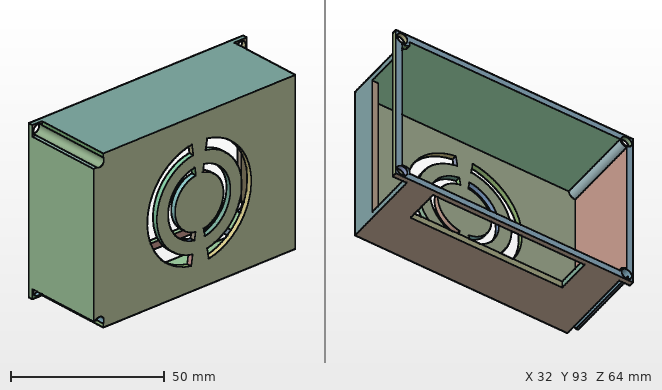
import cadquery as cq
import math

depth = 32.0
length = 93.0
height = 64.0

rim_thickness = 1.9
back_thickness = 2.0
side_wall = 2.46
floor_wall = 2.7
rim_overhang = 5.5
side_opening_depth = 20.1

screw_diameter = 4.0
boss_radius = 2.5
screw_inset = 2.5
tab_extension = 1.1
lip_width = 1.5
bottom_relief_height = 3.7

cable_y_min = -28.7
cable_y_max = 30.7
cable_depth = 13.0

vent_y = -0.65
vent_z = -0.4
vent_rings = [(10.5, 13.5), (18.4, 22.5)]
vent_halves = [(1, 8.8, 10.6), (-1, 8.1, 9.0)]

half_length = length / 2
half_height = height / 2
lip_reach = screw_inset + math.sqrt((screw_diameter / 2) ** 2 - (screw_inset - lip_width) ** 2)
inner_half_height = half_height - floor_wall
body_y_max = half_length - rim_overhang
screw_y = half_length - screw_inset
screw_z = half_height - screw_inset
tab_y = screw_y - tab_extension


def block(x_range, y_range, z_range):
    """Box spanning the given (low, high) ranges."""
    spans = [high - low for low, high in (x_range, y_range, z_range)]
    corner = (x_range[0], y_range[0], z_range[0])
    return cq.Workplane("XY").box(*spans, centered=False).translate(corner)


def rod(radius, y, z, x_start, x_end):
    """Cylinder along X."""
    return cq.Workplane("YZ", origin=(x_start, y, z)).circle(radius).extrude(x_end - x_start)


def make_shell():
    """Hollow box with a rim that overhangs its +Y end."""
    rim = block((0, rim_thickness), (-half_length, half_length), (-half_height, half_height))
    body = block((0, depth), (-half_length, body_y_max), (-half_height, half_height))
    inner_z = (-inner_half_height, inner_half_height)
    y_min = -half_length + side_wall
    cavity = block((0, depth - back_thickness), (y_min, body_y_max - side_wall), inner_z)
    rim_window = block((0, rim_thickness), (y_min, half_length - side_wall), inner_z)
    opening_x = (rim_thickness, rim_thickness + side_opening_depth)
    side_opening = block(opening_x, (0, body_y_max), inner_z)
    return rim.union(body).cut(cavity).cut(rim_window).cut(side_opening)


def add_bosses(part):
    """Full-depth bosses at the -Y corners and short rounded tabs on the overhanging rim."""
    for side in (-1, 1):
        z = side * screw_z
        part = part.union(rod(boss_radius, -screw_y, z, 0, depth))
        bridge_z = (z - boss_radius, z + boss_radius)
        tab = block((0, rim_thickness), (tab_y, screw_y), bridge_z)
        for y in (tab_y, screw_y):
            tab = tab.union(rod(boss_radius, y, z, 0, rim_thickness))
        tab_limit = block((0, rim_thickness), (body_y_max, half_length), (-half_height, half_height))
        part = part.union(tab.intersect(tab_limit))
    return part


def cut_screw_holes(part):
    """Holes at all corners; the -Y body corners are relieved into open grooves behind the rim."""
    relief_x = (rim_thickness, depth)
    for side, height_at_edge in ((1, lip_reach), (-1, bottom_relief_height)):
        for width, drop in ((lip_width, height_at_edge), (lip_reach, lip_width)):
            relief_y = (-half_length, -half_length + width)
            relief_z = sorted((side * half_height, side * (half_height - drop)))
            part = part.cut(block(relief_x, relief_y, relief_z))
    for z in (-screw_z, screw_z):
        part = part.cut(rod(screw_diameter / 2, -screw_y, z, 0, depth))
        part = part.cut(rod(screw_diameter / 2, screw_y, z, 0, rim_thickness))
    return part


def vent_slot(inner, outer, side, top_gap, bottom_gap):
    """Arc-shaped slot with radial ends, bulging towards the given side along Y."""

    def point(radius, angle):
        return (side * radius * math.sin(math.radians(angle)), radius * math.cos(math.radians(angle)))

    end = 180 - bottom_gap
    middle = (top_gap + end) / 2
    return (
        cq.Workplane("YZ", origin=(depth - back_thickness, vent_y, vent_z))
        .moveTo(*point(outer, top_gap))
        .threePointArc(point(outer, middle), point(outer, end))
        .lineTo(*point(inner, end))
        .threePointArc(point(inner, middle), point(inner, top_gap))
        .close()
        .extrude(back_thickness)
    )


def cut_vents(part):
    for inner, outer in vent_rings:
        for half in vent_halves:
            part = part.cut(vent_slot(inner, outer, *half))
    return part


def cut_cable_opening(part):
    opening_x = (rim_thickness, rim_thickness + cable_depth)
    return part.cut(block(opening_x, (cable_y_min, cable_y_max), (-half_height, -inner_half_height)))


shell = cut_screw_holes(add_bosses(make_shell()))
result = cut_cable_opening(cut_vents(shell))